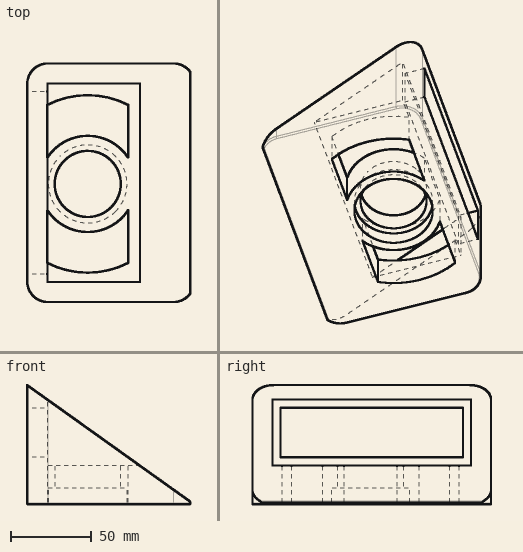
import cadquery as cq

width = 148.0
length = 101.2
height = 74.0
corner_radius = 13.0
base_radius = 1.0
slope_run = 103.6
nose_height = 1.3
nose_bevel = 0.7

wall = 12.6
pocket_end = 69.9
pocket_width = 123.1
floor_height = height * (1 - pocket_end / slope_run)

window_width = 112.9
window_bottom = 29.3
window_top = 59.8

slot_width = 50.0
slot_end_diameter = 109.8
ring_diameter = 59.8
hole_diameter = 40.8
centre_x = wall + slot_width / 2
centre_y = -0.7
counterbore_diameter = 48.5
counterbore_depth = 10.0


def block(x_start, x_end, y_size, z_start, z_end):
    """Box centred on y = 0 between the given x and z limits."""
    return (
        cq.Workplane("XY")
        .box(x_end - x_start, y_size, z_end - z_start, centered=(False, True, False))
        .translate((x_start, 0, z_start))
    )


def floor_disc(diameter, disc_height=floor_height):
    """Vertical cylinder on the ring axis, rising from the base plane."""
    return cq.Workplane("XY").center(centre_x, centre_y).circle(diameter / 2).extrude(disc_height)


def slope_height(x):
    """Height of the sloping face above the base plane at x."""
    return height * (1 - x / slope_run)


def wedge():
    """Rounded block cut to the side profile, with its base edge rounded."""
    profile = (
        cq.Workplane("XZ")
        .moveTo(0, 0)
        .lineTo(length, 0)
        .lineTo(length, nose_height)
        .lineTo(length - nose_bevel, slope_height(length - nose_bevel))
        .lineTo(0, height)
        .close()
        .extrude(width / 2, both=True)
    )
    body = block(0, slope_run, width, 0, height).edges("|Z").fillet(corner_radius)
    return body.intersect(profile).faces("<Z").edges().fillet(base_radius)


pocket = block(wall, pocket_end, pocket_width, floor_height, height)
window = block(0, wall, window_width, window_bottom, window_top)
slot = block(wall, wall + slot_width, width, 0, floor_height)
slot = slot.intersect(floor_disc(slot_end_diameter)).cut(floor_disc(ring_diameter))

hole = floor_disc(hole_diameter)
counterbore = floor_disc(counterbore_diameter, counterbore_depth)

result = wedge()
for opening in (pocket, window, slot, hole, counterbore):
    result = result.cut(opening)